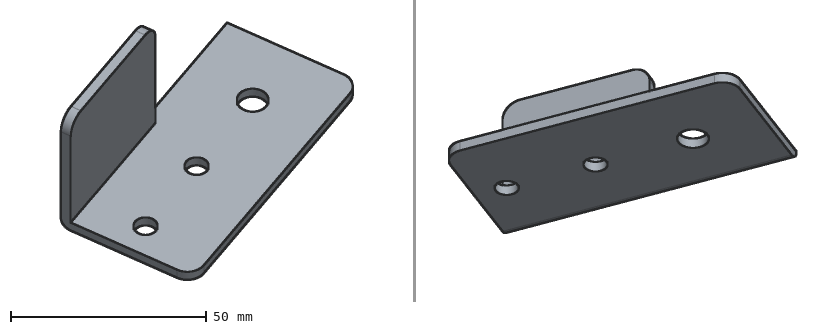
import cadquery as cq

length = 81.5
width = 40.0
height = 40.0
thickness = 3.0

flange_length = 41.5
corner_radius = 5.0
bend_radius = thickness

small_hole = 6.2
large_hole = 8.15
holes = [(9.0, small_hole), (34.0, small_hole), (61.45, large_hole)]


def make_base():
    """Flat plate with its two outer corners rounded."""
    plate = cq.Workplane("XY").box(width, length, thickness, centered=False)
    return plate.edges("|Z and >X").fillet(corner_radius)


def make_flange():
    """Upright plate along part of the X = 0 edge, with rounded top corners."""
    plate = cq.Workplane("XY").box(thickness, flange_length, height, centered=False)
    return plate.edges("|X and >Z").fillet(corner_radius)


def cut_holes(body):
    """Drill the round holes through the base."""
    for distance, diameter in holes:
        drill = cq.Workplane("XY").center(width / 2, distance).circle(diameter / 2).extrude(thickness)
        body = body.cut(drill)
    return body


bracket = make_base().union(make_flange())

bend_envelope = (
    cq.Workplane("XY")
    .box(width, length, height, centered=False)
    .edges("|Y and <X and <Z")
    .fillet(bend_radius)
)
bracket = bracket.intersect(bend_envelope)

result = cut_holes(bracket)